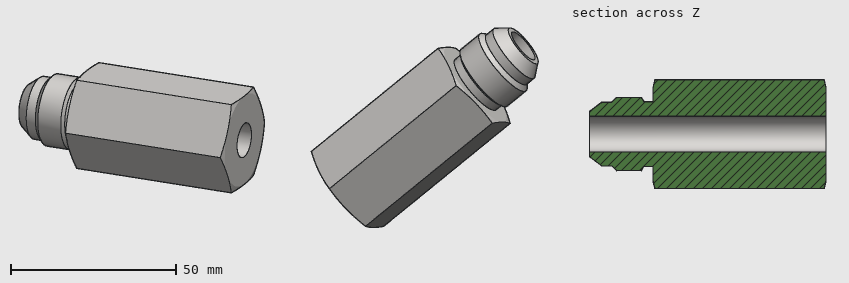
import cadquery as cq
import math

total_length = 71.63
nose_cone_end = 3.73
thread_start = 6.75
thread_end = 15.8
hex_start = 19.22

bore_dia = 10.69
nose_dia = 19.36
thread_dia = 22.23
neck_dia = 19.68

across_flats = 28.57
across_corners = across_flats / math.cos(math.radians(30))
hex_length = total_length - hex_start

flare_half_angle = 37.0
thread_lead_angle = 45.0
thread_runout_angle = 60.0

hex_chamfer_angle = 15.0


def revolve_about_x(profile):
    """Full revolution of a closed half-section about the part's axis."""
    return profile.revolve(360, (0, 0, 0), (1, 0, 0))


def turned_end():
    """Flared nose, threaded land and neck, revolved about the X axis."""
    nose_r = nose_dia / 2
    thread_r = thread_dia / 2
    neck_r = neck_dia / 2
    tip_r = nose_r - nose_cone_end * math.tan(math.radians(flare_half_angle))
    lead_length = (thread_r - nose_r) / math.tan(math.radians(thread_lead_angle))
    runout_length = (thread_r - neck_r) / math.tan(math.radians(thread_runout_angle))
    profile = (
        cq.Workplane("XY")
        .lineTo(0, tip_r)
        .lineTo(nose_cone_end, nose_r)
        .lineTo(thread_start, nose_r)
        .lineTo(thread_start + lead_length, thread_r)
        .lineTo(thread_end, thread_r)
        .lineTo(thread_end + runout_length, neck_r)
        .lineTo(hex_start, neck_r)
        .lineTo(hex_start, 0)
        .close()
    )
    return revolve_about_x(profile)


def hex_body():
    """Hexagon with flats facing +Z and -Z and its corners chamfered at both ends."""
    prism = (
        cq.Workplane("YZ")
        .workplane(offset=hex_start)
        .polygon(6, across_corners)
        .extrude(hex_length)
    )
    face_r = across_flats / 2
    corner_r = across_corners / 2
    chamfer_depth = (corner_r - face_r) * math.tan(math.radians(hex_chamfer_angle))
    envelope_profile = [
        (hex_start, 0),
        (hex_start, face_r),
        (hex_start + chamfer_depth, corner_r),
        (total_length - chamfer_depth, corner_r),
        (total_length, face_r),
        (total_length, 0),
    ]
    envelope = revolve_about_x(cq.Workplane("XY").polyline(envelope_profile).close())
    return prism.intersect(envelope)


def through_bore():
    """Flow passage along the whole axis."""
    return cq.Workplane("YZ").circle(bore_dia / 2).extrude(total_length)


result = turned_end().union(hex_body()).cut(through_bore())